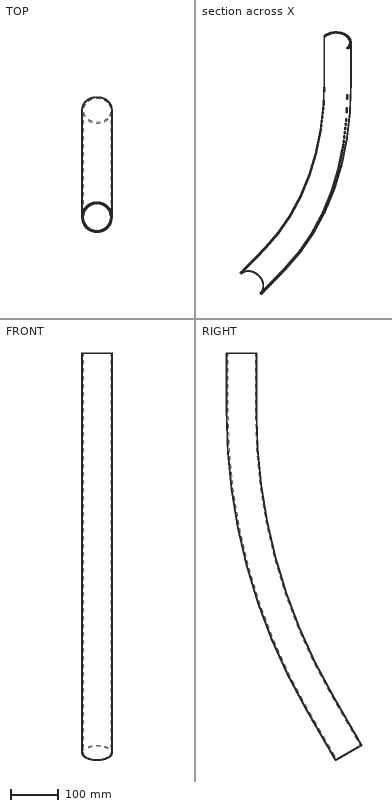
import cadquery as cq
import math

height = 862.5
outer_diameter = 64.0
inner_diameter = 58.0
straight_length = 125.0
bend_angle = 30.0

sin_bend = math.sin(math.radians(bend_angle))
cos_bend = math.cos(math.radians(bend_angle))
outer_radius = outer_diameter / 2
ends_height = straight_length * (1 + cos_bend) + outer_radius * sin_bend
bend_radius = (height - ends_height) / sin_bend


def bend_point(angle):
    """Centreline point (Y, Z) at an angle in degrees from the start of the bend."""
    turn = math.radians(angle)
    y = bend_radius * (1 - math.cos(turn))
    z = -straight_length - bend_radius * math.sin(turn)
    return y, z


bend_middle = bend_point(bend_angle / 2)
bend_end = bend_point(bend_angle)
lower_end = (
    bend_end[0] + straight_length * sin_bend,
    bend_end[1] - straight_length * cos_bend,
)
centreline = (
    cq.Workplane("YZ")
    .moveTo(0, 0)
    .lineTo(0, -straight_length)
    .threePointArc(bend_middle, bend_end)
    .lineTo(*lower_end)
)

result = (
    cq.Workplane("XY")
    .circle(outer_radius)
    .circle(inner_diameter / 2)
    .sweep(centreline)
)